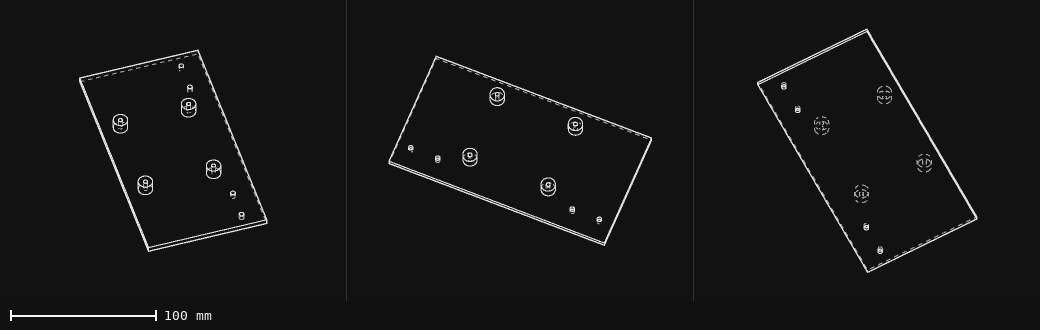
import cadquery as cq

plate_length = 160.0
plate_width = 85.0
plate_thickness = 4.0

standoff_diameter = 10.0
standoff_height = 8.0
standoff_bore_diameter = 2.7
standoff_spacing_x = 58.0
standoff_spacing_y = 49.0
standoff_pattern_center_y = -4.5

mounting_hole_diameter = 3.2
mounting_hole_edge_distance = 15.0
inner_hole_spacing = 100.0
outer_hole_spacing = 140.0


def make_plate():
    """Rectangular plate with a row of through holes."""
    hole_y = plate_width / 2 - mounting_hole_edge_distance
    hole_points = [
        (side * spacing / 2, hole_y)
        for spacing in (inner_hole_spacing, outer_hole_spacing)
        for side in (-1, 1)
    ]
    plate = cq.Workplane("XY").rect(plate_length, plate_width).extrude(plate_thickness)
    return (
        plate.faces(">Z")
        .workplane(origin=(0, 0, plate_thickness))
        .pushPoints(hole_points)
        .hole(mounting_hole_diameter)
    )


def make_standoffs():
    """Four tubular standoffs whose bores stop at the plate's top face."""
    return (
        cq.Workplane("XY", origin=(0, standoff_pattern_center_y, plate_thickness))
        .rect(standoff_spacing_x, standoff_spacing_y, forConstruction=True)
        .vertices()
        .circle(standoff_diameter / 2)
        .circle(standoff_bore_diameter / 2)
        .extrude(standoff_height)
    )


result = make_plate().union(make_standoffs())